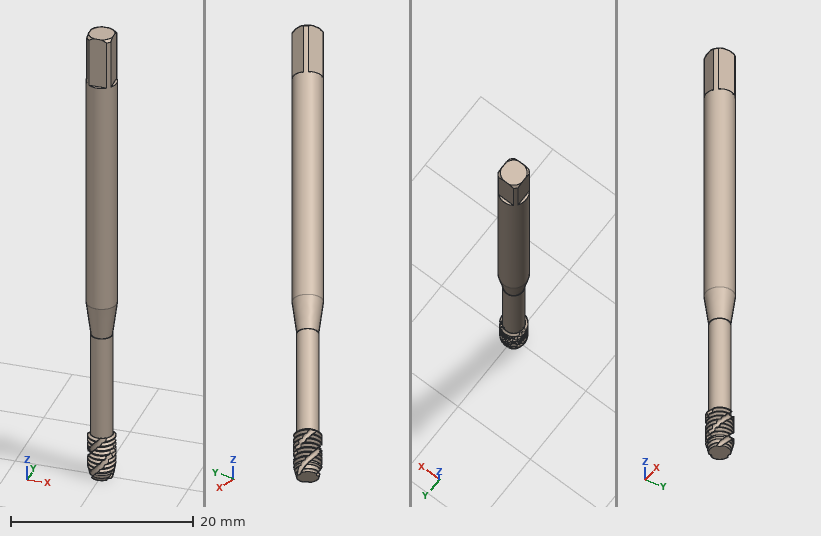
import cadquery as cq
import math

total_length = 56.0
thread_length = 5.4
neck_top = 18.0
taper_top = 22.0
square_length = 6.0

shank_diameter = 3.5
neck_diameter = 2.5
taper_end_diameter = 2.4
square_width = 2.8
square_chamfer = 0.3

thread_diameter = 3.15
root_diameter = 2.6
thread_pitch = 0.55
ring_count = 9
crest_width = 0.1
tip_diameter = 2.45
lead_length = 1.35

flute_count = 3
flute_lead = 9.35
flute_radius = 0.45
flute_centre_radius = 1.5
flute_start_angle = -152.0

square_bottom = total_length - square_length


def revolve_profile(points):
    """Turn a closed outline of (radius, height) points about the Z axis."""
    outline = cq.Workplane("XZ").polyline(points).close()
    return outline.revolve(360, (0, 0, 0), (0, 1, 0))


def make_driving_square():
    """Square with round corners, the corners chamfered at the end face."""
    square = (
        cq.Workplane("XY", origin=(0, 0, square_bottom))
        .rect(square_width, square_width)
        .extrude(square_length)
    )
    corner_envelope = (
        cq.Workplane("XY", origin=(0, 0, square_bottom))
        .circle(shank_diameter / 2)
        .extrude(square_length)
        .faces(">Z")
        .chamfer(square_chamfer)
    )
    return square.intersect(corner_envelope)


def make_shank():
    """Taper and round shank with the driving square on top."""
    shank_radius = shank_diameter / 2
    round_part = revolve_profile([
        (0, neck_top),
        (taper_end_diameter / 2, neck_top),
        (shank_radius, taper_top),
        (shank_radius, square_bottom),
        (0, square_bottom),
    ])
    return round_part.union(make_driving_square())


def make_threaded_blank():
    """Neck above a cylinder ringed with V grooves."""
    neck_radius = neck_diameter / 2
    thread_radius = thread_diameter / 2
    root_radius = root_diameter / 2
    flank_height = (thread_pitch - crest_width) / 2
    points = [(0, neck_top), (neck_radius, neck_top), (neck_radius, thread_length)]
    for ring in range(ring_count):
        ring_top = thread_length - ring * thread_pitch
        crest_top = ring_top - flank_height
        points += [
            (root_radius, ring_top),
            (thread_radius, crest_top),
            (thread_radius, crest_top - crest_width),
        ]
    lowest_root = thread_length - ring_count * thread_pitch
    points += [(root_radius, lowest_root), (root_radius, 0), (0, 0)]
    return revolve_profile(points)


def make_lead_envelope():
    """Cone at the tip that opens out to the full thread diameter."""
    thread_radius = thread_diameter / 2
    return revolve_profile([
        (0, 0),
        (tip_diameter / 2, 0),
        (thread_radius, lead_length),
        (thread_radius, neck_top),
        (0, neck_top),
    ])


def make_flute_cutter(angle):
    """Round bar twisted about the Z axis over the length of the thread."""
    twist = 360 * thread_length / flute_lead
    centre_x = flute_centre_radius * math.cos(math.radians(angle))
    centre_y = flute_centre_radius * math.sin(math.radians(angle))
    return (
        cq.Workplane("XY")
        .moveTo(centre_x, centre_y)
        .circle(flute_radius)
        .twistExtrude(thread_length, twist)
    )


def make_cutting_head():
    """Neck and ringed thread with a tapered lead and spiral flutes."""
    head = make_threaded_blank().intersect(make_lead_envelope())
    for flute in range(flute_count):
        head = head.cut(make_flute_cutter(flute_start_angle + flute * 360 / flute_count))
    return head


shank = make_shank()
cutting_head = make_cutting_head()
result = cq.Compound.makeCompound([shank.val(), cutting_head.val()])